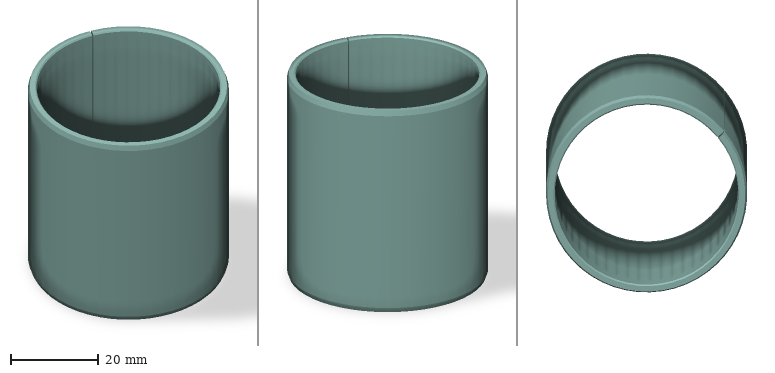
import cadquery as cq
import math

length = 50.0
outer_diameter = 46.0
bore_diameter = 42.0
outer_chamfer_length = 1.2
outer_chamfer_angle = 20.0
inner_chamfer = 0.3
seam_angle = 1.0

outer_radius = outer_diameter / 2
bore_radius = bore_diameter / 2
half_length = length / 2
outer_chamfer_depth = outer_chamfer_length * math.tan(math.radians(outer_chamfer_angle))


def make_wall_section():
    """Wall section on the -X side of the XZ plane, chamfered at both ends."""
    return (
        cq.Workplane("XZ")
        .moveTo(-bore_radius, -half_length + inner_chamfer)
        .lineTo(-bore_radius - inner_chamfer, -half_length)
        .lineTo(-outer_radius + outer_chamfer_depth, -half_length)
        .lineTo(-outer_radius, -half_length + outer_chamfer_length)
        .lineTo(-outer_radius, half_length - outer_chamfer_length)
        .lineTo(-outer_radius + outer_chamfer_depth, half_length)
        .lineTo(-bore_radius - inner_chamfer, half_length)
        .lineTo(-bore_radius, half_length - inner_chamfer)
        .close()
    )


result = make_wall_section().revolve(360 - seam_angle, (0, 0), (0, 1))